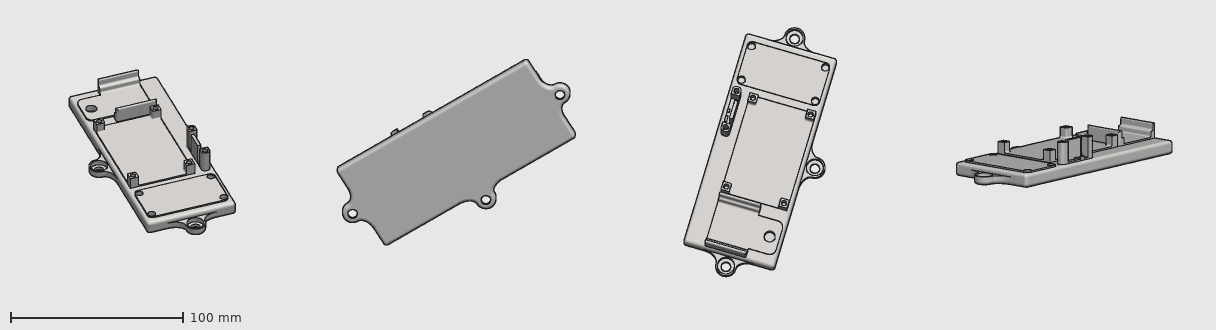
import cadquery as cq


plate_length = 130.0
plate_width = 55.1
plate_height = 8.0
plate_rounding = 2.0

ear_radius = 6.0
ear_offset = 5.5
ear_height = 5.0
ear_flare = 9.0
screw_diameter = 5.5
counterbore_diameter = 10.0
counterbore_depth = 3.0

pad_height = 0.9
pad_top = plate_height + pad_height
pad_edge = 25.0
relay_offset = 47.6

relay_5v_width = 26.3
relay_5v_corner_radius = 3.0
peg_hole_diameter = 4.5
peg_hole_spacing_x = 20.8
peg_hole_spacing_y = 44.7
peg_hole_depth = 4.0

relay_12v_width = 20.7
relay_12v_corner_radius = 4.0
relay_12v_pad_edge = plate_width / 2 - plate_rounding
relay_12v_hole_diameter = 6.5
relay_12v_hole_y = -19.7
relay_12v_hole_depth = 4.0
clip_back_y = 15.0
clip_length = 25.0
clip_span = 31.7
clip_thickness = 2.0
clip_ledge_width = 2.0
clip_ledge_z = 12.5
clip_top = 17.0
clip_base = plate_height - plate_rounding
clip_rounding = 1.0

board_length = 60.0
board_back_y = clip_back_y
post_width = 5.0
post_top = 15.0
post_rounding = 1.0
post_hole_diameter = 3.0

module_right = board_length / 2
module_length = 27.5
module_corner_radius = 2.0
module_top = 21.0
module_hole_depth = 10.0
backplate_length = 11.0
backplate_thickness = 2.0
stop_depth = 1.4
stop_height = 1.4
stop_spans = ((0.0, 3.4), (5.7, 7.5))


def box(x_min, x_max, y_min, y_max, z_min, z_max):
    size = (x_max - x_min, y_max - y_min, z_max - z_min)
    return cq.Workplane().box(*size, centered=False).translate((x_min, y_min, z_min))


def blind_hole(x, y, top, diameter, depth):
    return cq.Workplane(origin=(x, y, top - depth)).circle(diameter / 2).extrude(depth)


def ear_blank():
    """Ear pointing along +X from a side on the Y axis, with concave elliptical flanks."""
    half_root = ear_radius + ear_flare
    root = box(0, ear_offset, -half_root, half_root, 0, ear_height)
    for side in (-1, 1):
        flank = cq.Workplane().center(ear_offset, side * half_root).ellipse(ear_offset, ear_flare)
        root = root.cut(flank.extrude(ear_height))
    tip = cq.Workplane().center(ear_offset, 0).circle(ear_radius).extrude(ear_height)
    return root.union(tip)


def place_on_sides(shape):
    """Copies of a +X ear shape on the right, left and front sides of the plate."""
    right = shape.translate((plate_length / 2, 0, 0))
    left = right.rotate((0, 0, 0), (0, 0, 1), 180)
    front = shape.translate((plate_width / 2, 0, 0)).rotate((0, 0, 0), (0, 0, 1), -90)
    return right, left, front


def plate_with_ears():
    plate = cq.Workplane().rect(plate_length, plate_width).extrude(plate_height)
    plate = plate.edges("|Z").fillet(plate_rounding).faces(">Z").edges().fillet(plate_rounding)
    for ear in place_on_sides(ear_blank()):
        plate = plate.union(ear)
    plate = plate.faces("<Z").edges().fillet(plate_rounding)
    screw = cq.Workplane().center(ear_offset, 0).circle(screw_diameter / 2).extrude(ear_height)
    head = blind_hole(ear_offset, 0, ear_height, counterbore_diameter, counterbore_depth)
    for hole in place_on_sides(screw.union(head)):
        plate = plate.cut(hole)
    return plate


def relay_5v_pad():
    x = relay_offset
    half = relay_5v_width / 2
    pad = box(x - half, x + half, -pad_edge, pad_edge, plate_height, pad_top)
    return pad.edges("|Z").fillet(relay_5v_corner_radius)


def relay_5v_holes():
    corners = cq.Workplane(origin=(relay_offset, 0, pad_top - peg_hole_depth))
    corners = corners.rect(peg_hole_spacing_x, peg_hole_spacing_y, forConstruction=True).vertices()
    return corners.circle(peg_hole_diameter / 2).extrude(peg_hole_depth)


def relay_12v_pad():
    x = -relay_offset
    half = relay_12v_width / 2
    pad = box(x - half, x + half, -relay_12v_pad_edge, clip_back_y, plate_height, pad_top)
    return pad.edges("|Z and <Y").fillet(relay_12v_corner_radius)


def left_clip():
    """Wall with a round top, rounded outer corners and a stepped inner face."""
    outer = -relay_offset - clip_span / 2
    wall_inner = outer + clip_thickness
    ledge_inner = wall_inner + clip_ledge_width
    pad_side = -relay_offset - relay_12v_width / 2
    r = clip_rounding
    profile = (
        cq.Workplane("XZ", origin=(0, clip_back_y, 0))
        .moveTo(outer, clip_base)
        .lineTo(outer, clip_top - clip_thickness / 2)
        .threePointArc(
            (outer + clip_thickness / 2, clip_top),
            (wall_inner, clip_top - clip_thickness / 2),
        )
        .lineTo(wall_inner, clip_ledge_z + r)
        .radiusArc((wall_inner + r, clip_ledge_z), -r)
        .radiusArc((ledge_inner, clip_ledge_z - r), r)
        .lineTo(ledge_inner, pad_top + r)
        .radiusArc((ledge_inner + r, pad_top), -r)
        .lineTo(pad_side, pad_top)
        .lineTo(pad_side, clip_base)
        .close()
        .extrude(clip_length)
    )
    envelope = box(outer, pad_side, clip_back_y - clip_length, clip_back_y, clip_base, clip_top)
    return profile.intersect(envelope.edges("|Z and <X").fillet(r))


def perfboard_post_centers():
    x = (board_length - post_width) / 2
    back_y = board_back_y - post_width / 2
    front_y = -pad_edge + post_width / 2
    return [(side * x, y) for side in (-1, 1) for y in (front_y, back_y)]


def perfboard_mount():
    """Pad with a post on each corner, each foot filleted where it meets the pad."""
    half = board_length / 2
    mount = box(-half, half, -pad_edge, board_back_y, plate_height, pad_top)
    for x, y in perfboard_post_centers():
        post = cq.Workplane(origin=(x, y, plate_height)).rect(post_width, post_width)
        post = post.extrude(post_top - plate_height)
        inner_side = "<X" if x > 0 else ">X"
        inner_end = "<Y" if y > 0 else ">Y"
        mount = mount.union(post.edges(f"|Z and {inner_side} and {inner_end}").fillet(post_rounding))
    inset = post_width / 4
    foot_edges = cq.selectors.BoxSelector(
        (-half + inset, -pad_edge + inset, pad_top - inset),
        (half - inset, board_back_y - inset, pad_top + inset),
    )
    return mount.edges(foot_edges).fillet(post_rounding)


def module_post_centers():
    y = pad_edge - post_width / 2
    right_x = module_right - post_width / 2
    return [(right_x - module_length + post_width, y), (right_x, y)]


def module_mount():
    """Strip with a tall post on each end, a backplate and low stops between them."""
    left = module_right - module_length
    front_y = pad_edge - post_width
    mount = box(left, module_right, front_y, pad_edge, plate_height, pad_top)
    for x, y in module_post_centers():
        post = cq.Workplane(origin=(x, y, plate_height)).rect(post_width, post_width)
        mount = mount.union(post.extrude(module_top - plate_height))
    mount = mount.edges("|Z and (<X or >X)").fillet(module_corner_radius)

    plate_left = (left + module_right - backplate_length) / 2
    plate_right = plate_left + backplate_length
    plate_back_y = front_y + backplate_thickness
    mount = mount.union(box(plate_left, plate_right, front_y, plate_back_y, plate_height, module_top))
    for start, end in stop_spans:
        stop = box(
            plate_left + start,
            plate_left + end,
            pad_edge - stop_depth,
            pad_edge,
            plate_height,
            pad_top + stop_height,
        )
        mount = mount.union(stop)
    return mount


clip = left_clip()
opposite_clip = clip.mirror("YZ").translate((-2 * relay_offset, 0, 0))
result = plate_with_ears()
for feature in (relay_5v_pad(), relay_12v_pad(), clip, opposite_clip, perfboard_mount(), module_mount()):
    result = result.union(feature)

result = result.cut(relay_5v_holes())
result = result.cut(
    blind_hole(-relay_offset, relay_12v_hole_y, pad_top, relay_12v_hole_diameter, relay_12v_hole_depth)
)
for x, y in perfboard_post_centers():
    result = result.cut(blind_hole(x, y, post_top, post_hole_diameter, post_top - pad_top))
for x, y in module_post_centers():
    result = result.cut(blind_hole(x, y, module_top, post_hole_diameter, module_hole_depth))